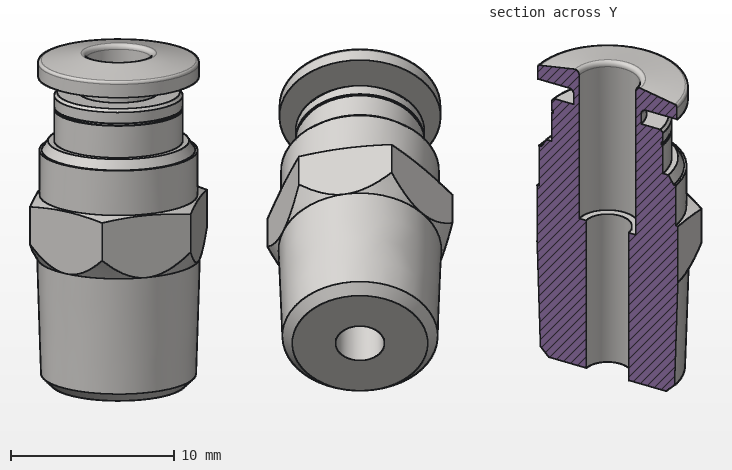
import cadquery as cq
import math

overall_height = 21.0
thread_chamfer_top = 0.6
hex_bottom = 8.0
hex_top = 12.0
collar_top = 14.83
collar_cone_top = 15.41
groove_bottom = 17.43
groove_top = 17.58
sleeve_top = 18.48
cap_bottom = 19.5
cap_wall_top = 20.37
bore_bottom = 10.5

hex_across_flats = 10.0
flat_radius = hex_across_flats / 2
thread_end_radius = 4.15
thread_small_radius = 4.77
collar_radius = 9.7 / 2
collar_cone_base_radius = 4.7
collar_cone_top_radius = 4.33
sleeve_radius = 7.9 / 2
sleeve_chamfer = 0.19
groove_depth = 0.1
neck_radius = 4.8 / 2
neck_fillet = 0.32
cap_radius = 9.9 / 2
cap_edge_round = 0.19
rim_radius = 2.3
bore_radius = 4.0 / 2
passage_radius = 3.0 / 2

upper_chamfer_angle = 15
lower_chamfer_angle = 60


def revolve_profile(profile):
    """Revolve an (r, z) profile around the Z axis."""
    return profile.close().revolve(360, (0, 0, 0), (0, 1, 0))


def make_hexagon():
    """Hexagon with corners on Y, trimmed by a shallow upper and a steep lower cone."""
    across_corners = hex_across_flats / math.cos(math.radians(30))
    height = hex_top - hex_bottom
    prism = (
        cq.Workplane("XY", origin=(0, 0, hex_bottom))
        .polygon(6, across_corners)
        .extrude(height)
        .rotate((0, 0, 0), (0, 0, 1), 30)
    )
    trim_radius = across_corners / 2 + 0.2
    upper_drop = (trim_radius - collar_radius) * math.tan(math.radians(upper_chamfer_angle))
    lower_rise = (trim_radius - flat_radius) * math.tan(math.radians(lower_chamfer_angle))
    envelope = revolve_profile(
        cq.Workplane("XZ")
        .moveTo(0, hex_bottom)
        .lineTo(flat_radius, hex_bottom)
        .lineTo(trim_radius, hex_bottom + lower_rise)
        .lineTo(trim_radius, hex_top - upper_drop)
        .lineTo(collar_radius, hex_top)
        .lineTo(0, hex_top)
    )
    return prism.intersect(envelope)


def make_thread_end():
    """Tapered thread blank with a chamfered end."""
    return revolve_profile(
        cq.Workplane("XZ")
        .lineTo(thread_end_radius, 0)
        .lineTo(thread_small_radius, thread_chamfer_top)
        .lineTo(flat_radius, hex_bottom)
        .lineTo(0, hex_bottom)
    )


def make_upper_body():
    """Collar, grooved sleeve, neck and release cap above the hexagon."""
    groove_radius = sleeve_radius - groove_depth
    arc_offset = neck_fillet * (1 - math.sqrt(0.5))
    edge_inset = cap_edge_round * (1 - math.sqrt(0.5))
    edge_rise = cap_edge_round * math.sqrt(0.5)
    return revolve_profile(
        cq.Workplane("XZ")
        .moveTo(0, hex_top)
        .lineTo(collar_radius, hex_top)
        .lineTo(collar_radius, collar_top)
        .lineTo(collar_cone_base_radius, collar_top)
        .lineTo(collar_cone_top_radius, collar_cone_top)
        .lineTo(sleeve_radius, collar_cone_top)
        .lineTo(sleeve_radius, groove_bottom)
        .lineTo(groove_radius, groove_bottom)
        .lineTo(groove_radius, groove_top)
        .lineTo(sleeve_radius, groove_top)
        .lineTo(sleeve_radius, sleeve_top - sleeve_chamfer)
        .lineTo(sleeve_radius - sleeve_chamfer, sleeve_top)
        .lineTo(neck_radius, sleeve_top)
        .lineTo(neck_radius, cap_bottom - neck_fillet)
        .threePointArc(
            (neck_radius + arc_offset, cap_bottom - arc_offset),
            (neck_radius + neck_fillet, cap_bottom),
        )
        .lineTo(cap_radius, cap_bottom)
        .lineTo(cap_radius, cap_wall_top)
        .threePointArc(
            (cap_radius - edge_inset, cap_wall_top + edge_rise),
            (cap_radius - cap_edge_round, cap_wall_top + cap_edge_round),
        )
        .lineTo(rim_radius, overall_height)
        .lineTo(0, overall_height)
    )


def make_bore():
    """Through passage, wider tube bore above it and a rounded mouth."""
    mouth_round = rim_radius - bore_radius
    arc_offset = mouth_round * (1 - math.sqrt(0.5))
    return revolve_profile(
        cq.Workplane("XZ")
        .lineTo(passage_radius, 0)
        .lineTo(passage_radius, bore_bottom)
        .lineTo(bore_radius, bore_bottom)
        .lineTo(bore_radius, overall_height - mouth_round)
        .threePointArc(
            (bore_radius + arc_offset, overall_height - arc_offset),
            (rim_radius, overall_height),
        )
        .lineTo(0, overall_height)
    )


body = make_thread_end().union(make_hexagon()).union(make_upper_body())
result = body.cut(make_bore())